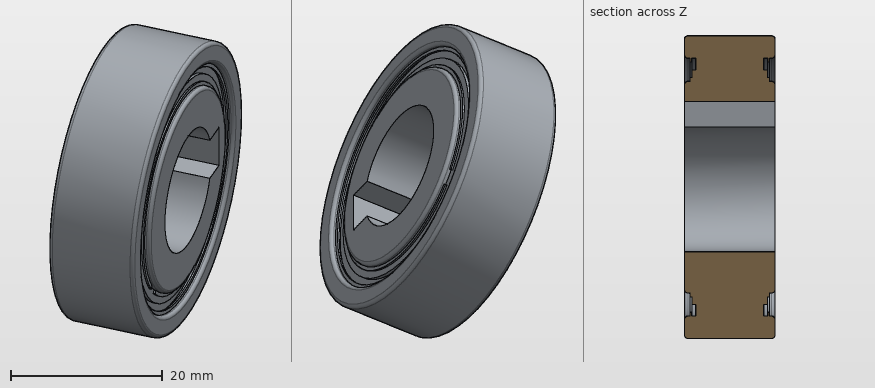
import cadquery as cq

width = 12.0
outer_radius = 20.0
bore_radius = 8.5
edge_radius = 0.5

inner_race_radius = 14.0
outer_race_radius = 17.0

ledge_depth = 0.75
ledge_thickness = 0.25
band_depth = ledge_depth + ledge_thickness
groove_depth = 1.5

split_ring_radius = 14.5
band_radius = 15.5
lip_radius = 16.5

split_width = 2.1
split_angle = 221.0

key_width = 6.0
key_reach = 11.3


def x_tube(outer, inner, start, length):
    """Tube along X from start, with the given outer and inner radii."""
    return cq.Workplane("YZ", origin=(start, 0, 0)).circle(outer).circle(inner).extrude(length)


def race(outer, inner, rounded_radii):
    """Full-width race whose end edges are rounded on the given radii."""
    body = x_tube(outer, inner, -width / 2, width)
    edges = body.faces("<X or >X").edges("%CIRCLE")
    rounded = edges.filter(lambda edge: edge.radius() in rounded_radii)
    return rounded.fillet(edge_radius)


def recessed_tube(outer, inner, depth):
    """Tube along X set back by depth from both end faces."""
    return x_tube(outer, inner, -width / 2 + depth, width - 2 * depth)


def ledge_pair(outer, inner):
    """Two thin rings, one near each end face."""
    envelope = recessed_tube(outer, inner, ledge_depth)
    return envelope.cut(recessed_tube(outer, inner, band_depth))


def radial_slot(reach, slot_width):
    """Full-width box from the axis out to reach along +Y, centred on Z."""
    return cq.Workplane("XY").box(width, reach, slot_width, centered=(True, False, True))


def split_rings():
    """Pair of rings around the inner race, each with a gap at the split angle."""
    gap = radial_slot(band_radius, split_width).rotate((0, 0, 0), (1, 0, 0), split_angle)
    return ledge_pair(split_ring_radius, inner_race_radius).cut(gap)


inner_race = race(inner_race_radius, bore_radius, [inner_race_radius])
outer_race = race(outer_radius, outer_race_radius, [outer_radius, outer_race_radius])
seal_band = recessed_tube(band_radius, inner_race_radius, band_depth)
groove_floor = recessed_tube(outer_race_radius, band_radius, groove_depth)
lips = ledge_pair(outer_race_radius, lip_radius)

result = inner_race.union(seal_band).union(groove_floor).union(outer_race)
result = result.union(split_rings()).union(lips)
result = result.cut(radial_slot(key_reach, key_width))